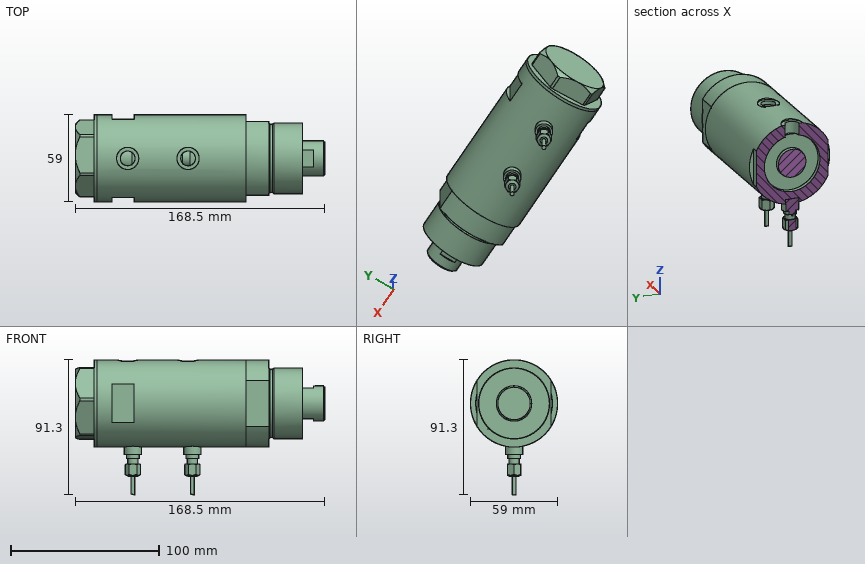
import cadquery as cq
import math

flange_start = 12.8
housing_start = 14.8
stop_end = 38.2
neck_start = 72.3
spigot_start = 77.3
housing_end = 115.4
head_end = 130.7
nose_start = 134.0
nose_end = 153.5
rod_flat_end = 160.7
rod_end = 168.5

body_dia = 59.0
bore_dia = 40.5
spigot_dia = 51.9
stop_dia = 20.5
rod_dia = 23.9
neck_dia = 12.0
nose_dia = 48.0

hex_sides = 6
hex_flats = 46.1
hex_corner_dia = 52.2
hex_chamfer = (hex_corner_dia - hex_flats) / 2
hex_turn = 6.0

slot_start = 25.0
slot_width = 14.8
slot_flats = 52.9
head_flats = 50.0

groove_dia = 46.3
groove_lip_dia = 47.5
groove_entry_length = 0.8
groove_exit_length = 1.0
groove_start = head_end + groove_entry_length
groove_end = nose_start - groove_exit_length

rod_flats = 20.9
rod_chamfer = 1.0

first_port_x = 35.4
port_pitch = 40.8
port_dia = 10.0
spotface_dia = 15.0
spotface_depth = 1.0

first_sensor_x = 38.9
sensor_pitch = 40.0
sensor_count = 2
sensor_seat = spigot_dia / 2
collar_end = 34.5
shoulder_end = 37.2
nut_start = 40.8
nut_end = 48.5
nut_tip = 49.3
cable_end = 61.8
collar_dia = 11.8
shoulder_dia = 8.8
stem_dia = 7.0
nut_flats = 9.1
nut_tip_dia = 5.0
cable_dia = 2.7
cable_slant = 0.7

port_positions = [first_port_x, first_port_x + port_pitch]
sensor_positions = [first_sensor_x + i * sensor_pitch for i in range(sensor_count)]


def rod_between(start, end, diameter):
    """Round bar on the cylinder axis between two X stations."""
    return cq.Workplane("YZ", origin=(start, 0, 0)).circle(diameter / 2).extrude(end - start)


def post_between(x, start, end, diameter):
    """Round bar hanging below the axis at x, between two distances from the axis."""
    return cq.Workplane("XY", origin=(x, 0, -end)).circle(diameter / 2).extrude(end - start)


def slab_between(start, end, thickness, normal):
    """Slab centred on the axis, wider than the body and with the given thickness along "Y" or "Z"."""
    sides = (thickness, 2 * body_dia) if normal == "Y" else (2 * body_dia, thickness)
    return cq.Workplane("YZ", origin=(start, 0, 0)).rect(*sides).extrude(end - start)


def make_cap():
    """End cap: blunted and chamfered hexagon, flange, and the stop that meets the piston."""
    corner_blank = rod_between(0, flange_start, hex_corner_dia).faces("<X").chamfer(hex_chamfer)
    hexagon = (
        cq.Workplane("YZ")
        .polygon(hex_sides, hex_flats / math.cos(math.pi / hex_sides))
        .extrude(flange_start)
        .rotate((0, 0, 0), (1, 0, 0), -hex_turn)
        .intersect(corner_blank)
    )
    flange = rod_between(flange_start, housing_start, body_dia)
    stop = rod_between(housing_start, stop_end, stop_dia)
    return hexagon.union(flange).union(stop)


def cut_slots(body):
    """Mill the two opposite wrench slots on the Y sides."""
    slot_end = slot_start + slot_width
    ring = rod_between(slot_start, slot_end, 2 * body_dia)
    return body.cut(ring.cut(slab_between(slot_start, slot_end, slot_flats, "Y")))


def cut_ports(body):
    """Spotface and drill the ports from the top into the bore."""
    spotface_z = body_dia / 2 - spotface_depth
    for x in port_positions:
        plane = cq.Workplane("XY", origin=(x, 0, spotface_z))
        body = body.cut(plane.circle(spotface_dia / 2).extrude(body_dia))
        body = body.cut(plane.circle(port_dia / 2).extrude(-spotface_z))
    return body


def make_housing():
    """Cylinder tube with its bore, the head socket, wrench slots, ports and sensor seats."""
    body = rod_between(housing_start, housing_end, body_dia)
    body = cut_slots(body)
    body = cut_ports(body)
    body = body.cut(rod_between(housing_start, spigot_start, bore_dia))
    body = body.cut(rod_between(spigot_start, housing_end, spigot_dia))
    for x in sensor_positions:
        body = body.cut(post_between(x, sensor_seat, body_dia, collar_dia))
    return body


def make_head():
    """Head with its spigot, flats, relief groove and nose, bored for the rod."""
    flange = rod_between(housing_end, head_end, body_dia)
    flange = flange.intersect(slab_between(housing_end, head_end, head_flats, "Y"))
    neck_and_nose = (
        cq.Workplane("XY")
        .moveTo(head_end, 0)
        .lineTo(head_end, groove_lip_dia / 2)
        .lineTo(groove_start, groove_dia / 2)
        .lineTo(groove_end, groove_dia / 2)
        .lineTo(nose_start, groove_lip_dia / 2)
        .lineTo(nose_start, nose_dia / 2)
        .lineTo(nose_end, nose_dia / 2)
        .lineTo(nose_end, 0)
        .close()
        .revolve(360, (0, 0, 0), (1, 0, 0))
    )
    spigot = rod_between(spigot_start, housing_end, spigot_dia)
    head = flange.union(neck_and_nose).union(spigot)
    return head.cut(rod_between(spigot_start, nose_end, rod_dia))


def make_piston_rod():
    """Piston, neck below the second port, and rod with a chamfered tip and two flats."""
    piston = rod_between(stop_end, neck_start, bore_dia)
    neck = rod_between(neck_start, spigot_start, neck_dia)
    rod = rod_between(spigot_start, rod_end, rod_dia).faces(">X").chamfer(rod_chamfer)
    ring = rod_between(nose_end, rod_flat_end, 2 * rod_dia)
    rod = rod.cut(ring.cut(slab_between(nose_end, rod_flat_end, rod_flats, "Z")))
    return piston.union(neck).union(rod)


def make_sensor(x):
    """Sensor with stepped collar, hexagon nut and a cable cut at a slight slant."""
    nut_corners = nut_flats / math.cos(math.pi / hex_sides)
    nut_chamfer = (nut_corners - nut_flats) / 2
    nut_blank = post_between(x, nut_start, nut_end, nut_corners).faces("<Z or >Z").chamfer(nut_chamfer)
    nut = (
        cq.Workplane("XY", origin=(x, 0, -nut_end))
        .polygon(hex_sides, nut_corners)
        .extrude(nut_end - nut_start)
        .intersect(nut_blank)
    )
    nut_cone = (
        cq.Workplane("XY", origin=(x, 0, -nut_end))
        .circle(nut_flats / 2)
        .workplane(offset=nut_end - nut_tip)
        .circle(nut_tip_dia / 2)
        .loft()
    )
    cable = post_between(x, nut_tip, cable_end, cable_dia)
    cable_radius = cable_dia / 2
    slant = (
        cq.Workplane("XZ", origin=(x, 0, -cable_end))
        .polyline([(-cable_radius, 0), (cable_radius, 0), (-cable_radius, cable_slant)])
        .close()
        .extrude(cable_radius, both=True)
    )
    return (
        post_between(x, sensor_seat, collar_end, collar_dia)
        .union(post_between(x, collar_end, shoulder_end, shoulder_dia))
        .union(post_between(x, shoulder_end, nut_start, stem_dia))
        .union(nut)
        .union(nut_cone)
        .union(cable.cut(slant))
    )


cap = make_cap()
housing = make_housing()
head = make_head()
piston_rod = make_piston_rod()
sensors = [make_sensor(x) for x in sensor_positions]

result = cq.Compound.makeCompound(
    [cap.val(), housing.val(), head.val(), piston_rod.val(), *[sensor.val() for sensor in sensors]]
)